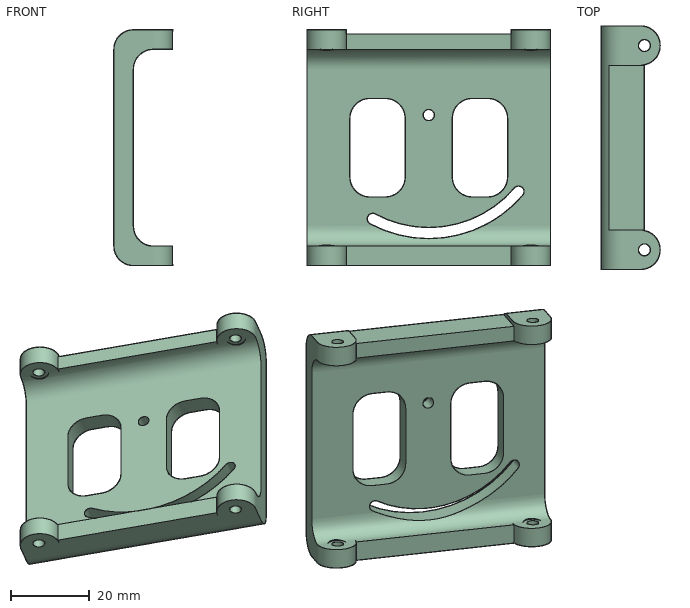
import cadquery as cq
import math

depth = 15.0
width = 62.0
height = 60.0
thickness = 5.0
bend_radius = thickness

lug_radius = 5.0
lug_width = 2 * lug_radius
lug_hole_diameter = 3.0
lug_hole_x = 11.0
spotface_diameter = 5.0
lug_centre_x = depth - lug_radius
lug_centre_y = width / 2 - lug_radius

middle_length = width - 2 * lug_width
middle_depth = 11.0
top_recess = 1.05

window_width = 14.0
window_height = 25.0
window_radius = 5.0
window_offset = 13.0
pivot_diameter = 2.8
pivot_z = 8.3

slot_radius = 30.0
slot_width = 2.8
slot_angle_back = 49.5
slot_angle_front = 28.3


def box(x_min, x_max, y_length, z_min, z_max):
    """Box centred on Y = 0."""
    size_x = x_max - x_min
    size_z = z_max - z_min
    centre = ((x_min + x_max) / 2, 0, (z_min + z_max) / 2)
    return cq.Workplane("XY").box(size_x, y_length, size_z).translate(centre)


def make_channel():
    """C-shaped channel with rounded bends inside and outside."""
    outer = box(0, depth, width, -height / 2, height / 2).edges("<X and |Y").fillet(bend_radius)
    inner_z = height / 2 - thickness
    inner = box(thickness, depth, width, -inner_z, inner_z).edges("<X and |Y").fillet(bend_radius)
    return outer.cut(inner)


def make_plan_limit():
    """Plan outline with round-ended lugs and shorter flanges between them, through the full height."""
    outline = box(0, middle_depth, middle_length, -height / 2, height / 2)
    outline = outline.union(box(0, lug_centre_x - lug_radius, width, -height / 2, height / 2))
    for side in (-1, 1):
        y = side * lug_centre_y
        arm = box(0, lug_centre_x, lug_width, -height / 2, height / 2).translate((0, y, 0))
        tip = (
            cq.Workplane("XY", origin=(lug_centre_x, y, -height / 2))
            .circle(lug_radius)
            .extrude(height)
        )
        outline = outline.union(arm).union(tip)
    return outline


def make_lug_holes():
    """Holes passing through the upper and lower lugs."""
    return (
        cq.Workplane("XY", origin=(0, 0, -height / 2))
        .pushPoints([(lug_hole_x, -lug_centre_y), (lug_hole_x, lug_centre_y)])
        .circle(lug_hole_diameter / 2)
        .extrude(height)
    )


def make_spotfaces():
    """Clearance that flattens the inside bends around the lug holes, level with the lugs' inner faces."""
    inner_z = height / 2 - thickness
    return (
        cq.Workplane("XY", origin=(0, 0, -inner_z))
        .pushPoints([(lug_hole_x, -lug_centre_y), (lug_hole_x, lug_centre_y)])
        .circle(spotface_diameter / 2)
        .extrude(2 * inner_z)
    )


def make_windows():
    """Two rounded rectangular openings through the plate."""
    return (
        cq.Workplane("YZ")
        .pushPoints([(-window_offset, 0), (window_offset, 0)])
        .rect(window_width, window_height)
        .extrude(thickness)
        .edges("|X")
        .fillet(window_radius)
    )


def slot_point(radius, angle):
    """Point at an angle from straight down, positive toward +Y, about the pivot."""
    turn = math.radians(angle)
    return (radius * math.sin(turn), pivot_z - radius * math.cos(turn))


def make_slot():
    """Arc slot with round ends, deep enough to pass through the lower inside bend."""
    outer = slot_radius + slot_width / 2
    inner = slot_radius - slot_width / 2
    end_turn = math.degrees(slot_width / 2 / slot_radius)
    return (
        cq.Workplane("YZ")
        .moveTo(*slot_point(outer, -slot_angle_front))
        .threePointArc(slot_point(outer, 0), slot_point(outer, slot_angle_back))
        .threePointArc(
            slot_point(slot_radius, slot_angle_back + end_turn),
            slot_point(inner, slot_angle_back),
        )
        .threePointArc(slot_point(inner, 0), slot_point(inner, -slot_angle_front))
        .threePointArc(
            slot_point(slot_radius, -slot_angle_front - end_turn),
            slot_point(outer, -slot_angle_front),
        )
        .close()
        .extrude(depth)
    )


pivot_hole = cq.Workplane("YZ", origin=(0, 0, pivot_z)).circle(pivot_diameter / 2).extrude(thickness)
recess = box(0, depth, middle_length, height / 2 - top_recess, height / 2)

result = make_channel().intersect(make_plan_limit())
for opening in (recess, make_lug_holes(), make_spotfaces(), make_windows(), pivot_hole, make_slot()):
    result = result.cut(opening)